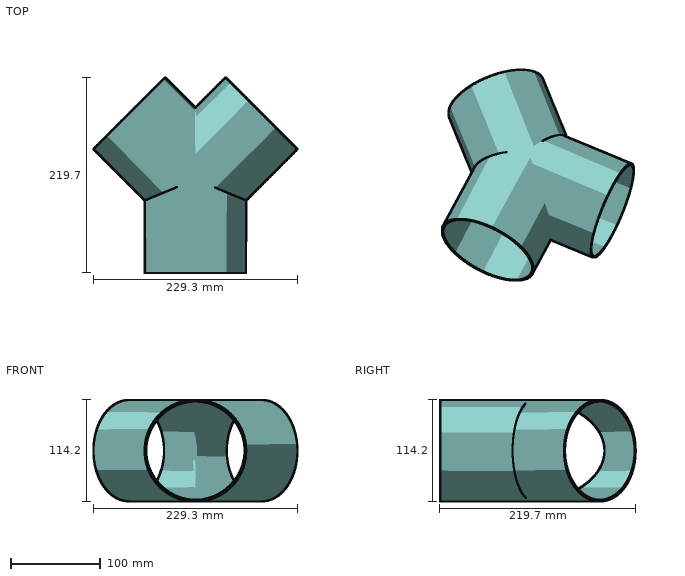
import cadquery as cq
import math

overall_width = 229.3
outer_diameter = 114.2
bore_diameter = 110.3
stem_angle = 270
branch_angle = 45
branch_angles = (branch_angle, 180 - branch_angle)
outer_crotch_radius = 1.1
bore_crotch_radius = 3.2

corner_reach = overall_width / 2 - outer_diameter / 2 * math.sin(math.radians(branch_angle))
leg_length = corner_reach / math.cos(math.radians(branch_angle))


def cylinder_leg(diameter, angle):
    """Solid cylinder running from the junction point to one open end."""
    direction = cq.Vector(math.cos(math.radians(angle)), math.sin(math.radians(angle)), 0)
    return cq.Workplane(cq.Solid.makeCylinder(diameter / 2, leg_length, cq.Vector(), direction))


def y_body(diameter, crotch_radius):
    """Three joined cylinders with the seam between the branches filleted."""
    body = cylinder_leg(diameter, stem_angle)
    for angle in branch_angles:
        body = body.union(cylinder_leg(diameter, angle))

    seam_box = cq.selectors.BoxSelector(
        (-crotch_radius, 0, -diameter),
        (crotch_radius, diameter, diameter),
    )
    return body.edges(seam_box).fillet(crotch_radius)


outside = y_body(outer_diameter, outer_crotch_radius)
bore = y_body(bore_diameter, bore_crotch_radius)
result = outside.cut(bore)